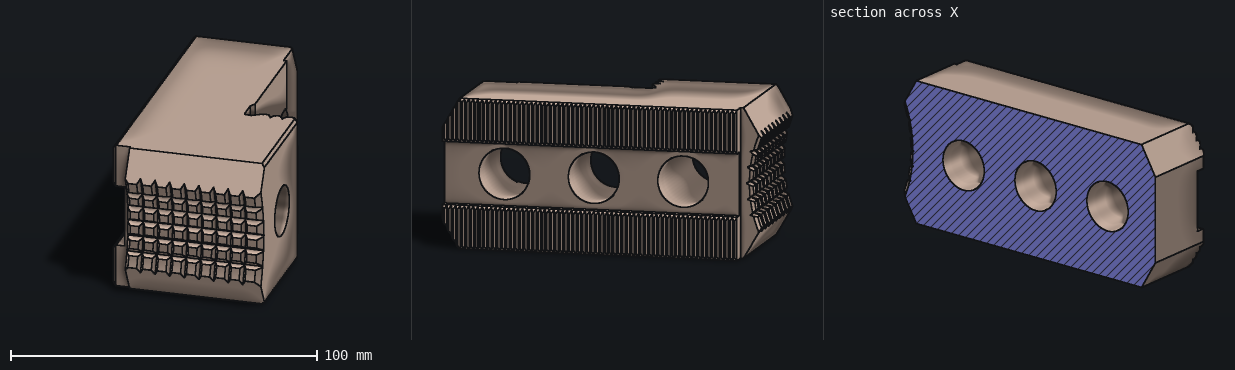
import cadquery as cq
import math


width = 52.0
length = 105.8
height = 50.0
half_height = height / 2
edge_chamfer = 1.0
margin = 3.2
flank_angle = math.radians(30)

tail_width = 34.2
step_y = 45.4
heel_x = 6.0
slant_height = 10.0
slant_angle = math.radians(30)
slant_run = slant_height * math.tan(slant_angle)

pad_start = 51.8
pad_end = 88.7
pad_thickness = 1.1
lead_in_angle = math.radians(60)
pad_lead_in = pad_thickness * math.tan(lead_in_angle)

tooth_count = 66
toothed_length = 99.0
tooth_pitch = toothed_length / tooth_count
tooth_depth = 1.0
tooth_half_width = tooth_depth * math.tan(flank_angle)
back_chamfer = 1.2
heel_y = length - toothed_length
keyway_width = 20.9
keyway_depth = 4.0

hole_diameter = 17.0
hole_spacing = 30.0
first_hole_y = 25.6
hole_count = 3

grip_radius = 41.7
grip_half_angle = 21.0
grip_sag = grip_radius * (1 - math.cos(math.radians(grip_half_angle)))
grip_groove_pitch = 5.0
grip_groove_count = 8
first_grip_groove_x = 11.1
grip_groove_half_width = 1.0
grip_heel_bevel = 1.1
grip_groove_depth = 1.6
grip_bevel_width = 1.9
cross_groove_step = 7.0
cross_groove_count = 5
cross_groove_depth = 2.0

step_sag = 0.69
step_radius = (half_height ** 2 + step_sag ** 2) / (2 * step_sag)
step_sweep = 2 * math.degrees(math.asin((half_height + margin) / step_radius))
relief_depth = 2.0
relief_radius = 1.0
relief_slope = math.radians(30)
relief_end_x = 40.1
relief_slope_start_x = relief_end_x - relief_depth / math.tan(relief_slope)
step_grooves_x = (43.0, 47.1)
step_groove_half_width = 1.1
step_groove_depth = 1.9
step_bevel_width = 1.6
step_bevel_depth = 1.4


def make_block():
    """L-shaped block with sloping ends, chamfered edges and the raised pad."""
    outline = [
        (0, heel_y), (heel_x, heel_y), (heel_x, 0), (width, 0),
        (width, step_y), (tail_width, step_y), (tail_width, length), (0, length),
    ]
    block = cq.Workplane("XY").polyline(outline).close().extrude(half_height, both=True)
    block = block.faces(">X").edges("|Y").chamfer(edge_chamfer)
    block = block.faces("<X").edges("|Y").chamfer(back_chamfer)

    shoulder_z = half_height - slant_height
    side_outline = [
        (0, shoulder_z), (slant_run, half_height), (length - slant_run, half_height),
        (length, shoulder_z), (length, -shoulder_z), (length - slant_run, -half_height),
        (slant_run, -half_height), (0, -shoulder_z),
    ]
    block = block.intersect(cq.Workplane("YZ").polyline(side_outline).close().extrude(width))

    pick_reach = 0.1
    tail_edges = cq.selectors.BoxSelector(
        (tail_width - pick_reach, length - slant_run, -half_height),
        (tail_width + pick_reach, length + pick_reach, half_height),
    )
    block = block.edges(tail_edges).chamfer(edge_chamfer)

    pad_top = tail_width + pad_thickness
    pad_outline = [
        (tail_width - margin, pad_start - pad_lead_in), (tail_width, pad_start - pad_lead_in),
        (pad_top, pad_start), (pad_top, pad_end), (tail_width - margin, pad_end),
    ]
    pad = cq.Workplane("XY").polyline(pad_outline).close().extrude(half_height, both=True)
    return block.union(pad)


def make_keyway():
    """Channel along the back with chamfered mouth edges."""
    half_width = keyway_width / 2
    mouth = half_width + back_chamfer
    outline = [
        (-margin, -mouth), (0, -mouth), (back_chamfer, -half_width), (keyway_depth, -half_width),
        (keyway_depth, half_width), (back_chamfer, half_width), (0, mouth), (-margin, mouth),
    ]
    return cq.Workplane("XZ").polyline(outline).close().extrude(-length)


def make_serration():
    """Row of V grooves across the back, with a half groove at each end."""
    points = [(-margin, heel_y - margin), (0, heel_y - margin)]
    for i in range(tooth_count + 1):
        y = heel_y + i * tooth_pitch
        points += [(0, y - tooth_half_width), (tooth_depth, y), (0, y + tooth_half_width)]
    points += [(0, length + margin), (-margin, length + margin)]
    return cq.Workplane("XY").polyline(points).close().extrude(half_height, both=True)


def make_bolt_holes():
    """Through holes along X on the keyway centre line."""
    centres = [(first_hole_y + i * hole_spacing, 0) for i in range(hole_count)]
    return cq.Workplane("YZ").pushPoints(centres).circle(hole_diameter / 2).extrude(width)


def make_grip_cutter():
    """Concave cylinder with ridges that leave the V grooves of the front face."""
    axis_y = grip_sag - grip_radius
    groove_y = grip_sag + grip_groove_depth
    heel_bevel_y = grip_sag + grip_heel_bevel
    points = [(heel_x - margin, axis_y), (heel_x - margin, heel_bevel_y)]
    points += [(heel_x, heel_bevel_y), (heel_x + grip_heel_bevel, grip_sag)]
    for i in range(grip_groove_count):
        x = first_grip_groove_x + i * grip_groove_pitch
        points += [
            (x - grip_groove_half_width, grip_sag),
            (x, groove_y),
            (x + grip_groove_half_width, grip_sag),
        ]
    points += [(width - grip_bevel_width, grip_sag), (width, groove_y)]
    points += [(width + margin, groove_y), (width + margin, axis_y)]
    profile = cq.Workplane("XY").polyline(points).close()
    return profile.revolve(360, (0, axis_y, 0), (1, axis_y, 0))


def make_cross_grooves():
    """60-degree V grooves along X, set radially about the grip axis."""
    axis_y = grip_sag - grip_radius
    tip_y = grip_sag + cross_groove_depth
    wedge_length = cross_groove_depth + margin
    half_width = wedge_length * math.tan(flank_angle)
    wedge = (
        cq.Workplane("YZ")
        .polyline([(tip_y, 0), (tip_y - wedge_length, half_width), (tip_y - wedge_length, -half_width)])
        .close()
        .extrude(width + margin)
    )
    grooves = cq.Workplane("XY")
    for i in range(cross_groove_count):
        angle = (i - (cross_groove_count - 1) / 2) * cross_groove_step
        grooves = grooves.add(wedge.rotate((0, axis_y, 0), (1, axis_y, 0), angle))
    return grooves.combine()


def make_step_cutter():
    """Swept profile that crowns the step face and cuts its relief and grooves."""
    top_y = step_y + margin
    floor_y = step_y - relief_depth
    arc_offset = relief_radius * (1 - math.sqrt(0.5))
    profile = (
        cq.Workplane("XY")
        .moveTo(tail_width, top_y)
        .lineTo(tail_width, floor_y + relief_radius)
        .threePointArc(
            (tail_width + arc_offset, floor_y + arc_offset),
            (tail_width + relief_radius, floor_y),
        )
        .lineTo(relief_slope_start_x, floor_y)
        .lineTo(relief_end_x, step_y)
    )
    for x in step_grooves_x:
        profile = (
            profile.lineTo(x - step_groove_half_width, step_y)
            .lineTo(x, step_y - step_groove_depth)
            .lineTo(x + step_groove_half_width, step_y)
        )
    profile = (
        profile.lineTo(width - step_bevel_width, step_y)
        .lineTo(width, step_y - step_bevel_depth)
        .lineTo(width + margin, step_y - step_bevel_depth)
        .lineTo(width + margin, top_y)
        .close()
    )
    axis_y = step_y - step_radius
    axis_start = (0, axis_y, 0)
    axis_end = (1, axis_y, 0)
    swept = profile.revolve(step_sweep, axis_start, axis_end)
    return swept.rotate(axis_start, axis_end, -step_sweep / 2)


result = (
    make_block()
    .cut(make_serration())
    .cut(make_keyway())
    .cut(make_bolt_holes())
    .cut(make_grip_cutter())
    .cut(make_cross_grooves())
    .cut(make_step_cutter())
)